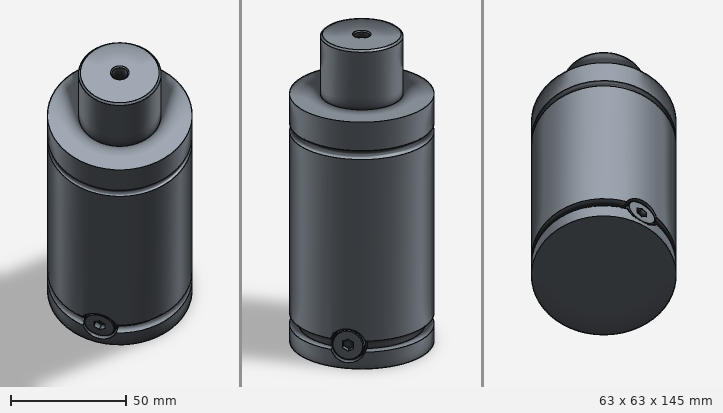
import cadquery as cq
import math

total_height = 145
body_diameter = 63.0
body_height = 116.9
rod_diameter = 36.0
rod_chamfer = 0.9

base_groove_bottom = 8.0
base_groove_top = 13.2
base_groove_diameter = 55.1
ring_groove_height = 101.2
ring_groove_radius = 2.0

rod_hole_diameter = 6.8
rod_hole_depth = 14.5
rod_hole_mouth_diameter = 8.0
drill_point_angle = 118

port_height = 10.7
port_diameter = 16
port_floor = 26.4
plug_diameter = 14.0
plug_face = 30.7
plug_chamfer = 0.5
socket_flats = 5.0
socket_depth = 2.9

body_radius = body_diameter / 2
hole_radius = rod_hole_diameter / 2


def make_body():
    """Cylinder body with a rectangular groove near the base and a round one near the top."""
    groove_radius = base_groove_diameter / 2
    return (
        cq.Workplane("XZ")
        .lineTo(body_radius, 0)
        .lineTo(body_radius, base_groove_bottom)
        .lineTo(groove_radius, base_groove_bottom)
        .lineTo(groove_radius, base_groove_top)
        .lineTo(body_radius, base_groove_top)
        .lineTo(body_radius, ring_groove_height - ring_groove_radius)
        .threePointArc(
            (body_radius - ring_groove_radius, ring_groove_height),
            (body_radius, ring_groove_height + ring_groove_radius),
        )
        .lineTo(body_radius, body_height)
        .lineTo(0, body_height)
        .close()
        .revolve(360, (0, 0), (0, 1))
    )


def make_rod():
    """Piston rod standing on the body, chamfered at its end."""
    return (
        cq.Workplane("XY", origin=(0, 0, body_height))
        .circle(rod_diameter / 2)
        .extrude(total_height - body_height)
        .faces(">Z")
        .edges()
        .chamfer(rod_chamfer)
    )


def make_rod_hole():
    """Blind drilled hole with a 45 degree mouth and a conical bottom."""
    mouth_radius = rod_hole_mouth_diameter / 2
    mouth_depth = mouth_radius - hole_radius
    point_length = hole_radius / math.tan(math.radians(drill_point_angle / 2))
    hole_bottom = total_height - rod_hole_depth
    return (
        cq.Workplane("XZ")
        .moveTo(0, total_height)
        .lineTo(mouth_radius, total_height)
        .lineTo(hole_radius, total_height - mouth_depth)
        .lineTo(hole_radius, hole_bottom)
        .lineTo(0, hole_bottom - point_length)
        .close()
        .revolve(360, (0, 0), (0, 1))
    )


def port_plane(distance):
    """Workplane on the port axis, facing -Y, at a distance from the body axis."""
    return cq.Workplane("XZ", origin=(0, -distance, port_height))


def make_port():
    """Round pocket that opens through the side of the body."""
    return port_plane(port_floor).circle(port_diameter / 2).extrude(body_radius - port_floor)


def make_plug():
    """Chamfered plug with a hexagon socket whose corners point up and down."""
    plug = (
        port_plane(port_floor)
        .circle(plug_diameter / 2)
        .extrude(plug_face - port_floor)
        .faces("<Y")
        .edges()
        .chamfer(plug_chamfer)
    )
    socket_corners = socket_flats / math.cos(math.pi / 6)
    socket = (
        port_plane(plug_face - socket_depth)
        .transformed(rotate=(0, 0, 90))
        .polygon(6, socket_corners)
        .extrude(socket_depth)
    )
    return plug.cut(socket)


result = make_body().union(make_rod()).cut(make_rod_hole()).cut(make_port()).union(make_plug())